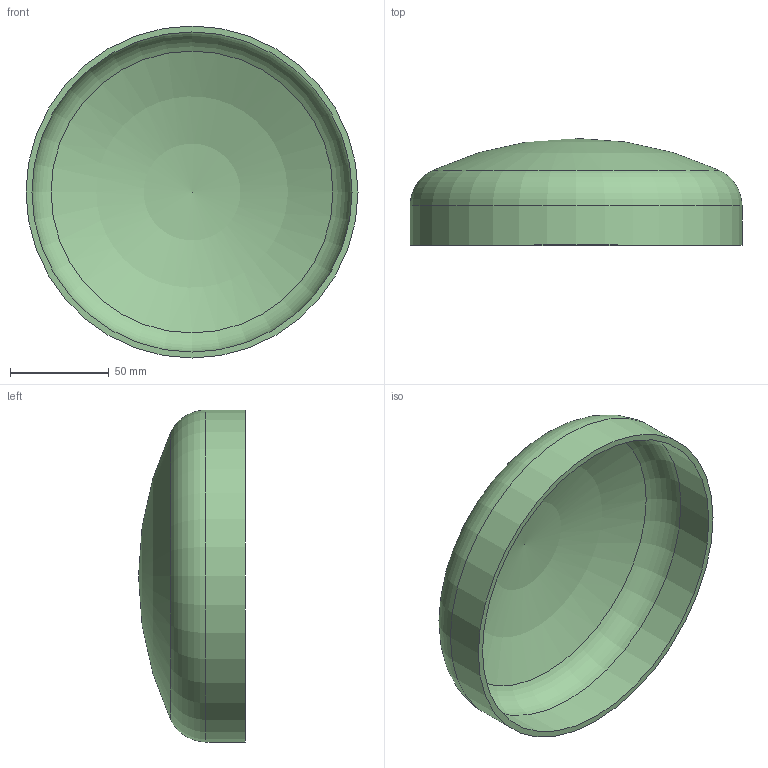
import cadquery as cq
import math

outer_diameter = 168.3
wall = 3.0
flange_length = 20.0

inner_radius = outer_diameter / 2 - wall
inner_crown_radius = outer_diameter
inner_knuckle_radius = 0.1 * outer_diameter

knuckle_centre = inner_radius - inner_knuckle_radius
knuckle_to_crown_centre = inner_crown_radius - inner_knuckle_radius
tangent_angle = math.asin(knuckle_centre / knuckle_to_crown_centre)
crown_centre_y = flange_length - knuckle_to_crown_centre * math.cos(tangent_angle)


def crown_point(offset, angle):
    """Point (radius, Y) on the crown, at an angle from the axis."""
    radius = inner_crown_radius + offset
    return (radius * math.sin(angle), crown_centre_y + radius * math.cos(angle))


def knuckle_midpoint(offset):
    """Point (radius, Y) halfway along the knuckle arc."""
    radius = inner_knuckle_radius + offset
    angle = (tangent_angle + math.pi / 2) / 2
    return (knuckle_centre + radius * math.sin(angle), flange_length + radius * math.cos(angle))


def dished_solid(offset):
    """Solid of revolution bounded by the inner surface moved outwards by offset."""
    rim_radius = inner_radius + offset
    return (
        cq.Workplane("XY")
        .lineTo(rim_radius, 0)
        .lineTo(rim_radius, flange_length)
        .threePointArc(knuckle_midpoint(offset), crown_point(offset, tangent_angle))
        .threePointArc(crown_point(offset, tangent_angle / 2), crown_point(offset, 0))
        .close()
        .revolve(360, (0, 0, 0), (0, 1, 0))
    )


result = dished_solid(wall).cut(dished_solid(0))